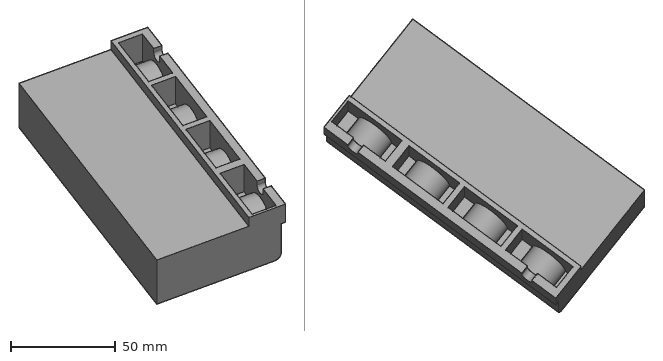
import cadquery as cq

LENGTH = 140.0
DEPTH = 70.0
HEIGHT = 34.9
RAIL_DEPTH = 20.0
RAIL_RISE = 5.75
LIP_HEIGHT = 12.0
LIP_OVERHANG = 2.25
BOTTOM_RADIUS = 4.0

POCKET_SPANS = [(3.0, 33.7), (36.6, 68.5), (71.5, 102.0), (106.3, 138.7)]
POCKET_WALL = 4.5
POCKET_WIDTH = 13.0

SADDLE_RADIUS = 10.0
SADDLE_PITCH = LENGTH / len(POCKET_SPANS)
SADDLE_TOP_DEPTH = 7.9
POCKET_DEPTH = SADDLE_TOP_DEPTH + SADDLE_RADIUS
SADDLE_CENTERS = [SADDLE_PITCH * (i + 0.5) for i in range(len(POCKET_SPANS))]

NOTCH_WIDTH = 6.0
NOTCH_DEPTH = 5.5
NOTCH_CENTERS = [SADDLE_CENTERS[0], SADDLE_CENTERS[-1]]

POCKET_BACK = DEPTH - POCKET_WALL
POCKET_FRONT = POCKET_BACK - POCKET_WIDTH
POCKET_FLOOR = HEIGHT - POCKET_DEPTH


def make_block():
    """Stepped side profile with an overhanging lip, extruded along X."""
    deck = HEIGHT - RAIL_RISE
    back = DEPTH - LIP_OVERHANG
    profile = (
        cq.Workplane("YZ")
        .moveTo(0, 0)
        .lineTo(back - BOTTOM_RADIUS, 0)
        .radiusArc((back, BOTTOM_RADIUS), -BOTTOM_RADIUS)
        .lineTo(back, HEIGHT - LIP_HEIGHT)
        .lineTo(DEPTH, HEIGHT - LIP_HEIGHT)
        .lineTo(DEPTH, HEIGHT)
        .lineTo(DEPTH - RAIL_DEPTH, HEIGHT)
        .lineTo(DEPTH - RAIL_DEPTH, deck)
        .lineTo(0, deck)
        .close()
    )
    return profile.extrude(LENGTH)


def make_pocket(start, end, saddle_center):
    """Pocket volume to remove, with its saddle left standing."""
    pocket = cq.Workplane("XY").box(end - start, POCKET_WIDTH, POCKET_DEPTH, centered=False)
    pocket = pocket.translate((start, POCKET_FRONT, POCKET_FLOOR))
    saddle = (
        cq.Workplane("XZ", origin=(saddle_center, POCKET_BACK, POCKET_FLOOR))
        .circle(SADDLE_RADIUS)
        .extrude(POCKET_WIDTH)
    )
    return pocket.cut(saddle)


def make_notch(center):
    """Vertical-sided notch with a half-round bottom, open at the top."""
    radius = NOTCH_WIDTH / 2
    straight = NOTCH_DEPTH - radius
    return (
        cq.Workplane("XZ", origin=(center, DEPTH, HEIGHT))
        .moveTo(-radius, 0)
        .lineTo(-radius, -straight)
        .threePointArc((0, -NOTCH_DEPTH), (radius, -straight))
        .lineTo(radius, 0)
        .close()
        .extrude(POCKET_WALL)
    )


result = make_block()
for (span_start, span_end), saddle_x in zip(POCKET_SPANS, SADDLE_CENTERS):
    result = result.cut(make_pocket(span_start, span_end, saddle_x))
for notch_x in NOTCH_CENTERS:
    result = result.cut(make_notch(notch_x))